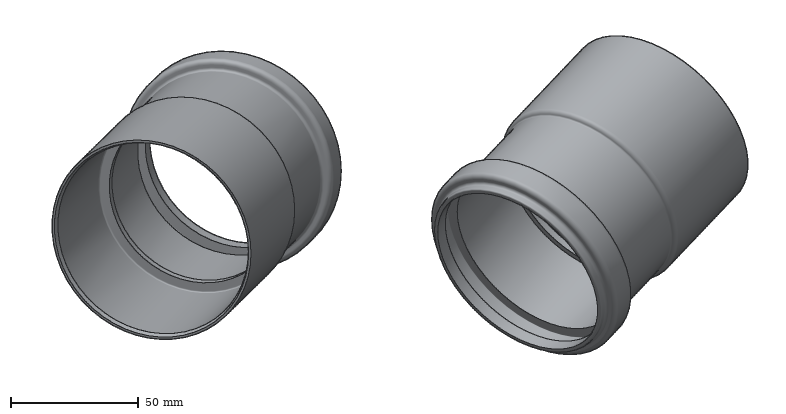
import cadquery as cq
import math


length = 99.5
socket_depth = 48.0
stop_thickness = 3.0
lead_in_length = 1.8
shoulder_start = 48.5
bead_centre = 90.05
bead_width = 11.9

wall = 1.8
socket_diameter = 83.6
mouth_diameter = 81.6
tube_diameter = 79.7
bead_diameter = 88.6
stop_bore = 71.5

shoulder_round = 2.0
shoulder_root_round = 0.8
socket_floor_round = 0.6
bead_round = 2.0
bead_root_round = 1.2
tube_end_round = 0.6


def bore(outer_diameter):
    """Inner diameter of a stretch of pipe wall."""
    return outer_diameter - 2 * wall


def spin(profile):
    """Revolve a (radius, Y) profile about the Y axis."""
    return profile.revolve(360, (0, 0, 0), (0, 1, 0))


def cylinder(diameter, start, end):
    """Cylinder along Y between two positions."""
    return spin(cq.Workplane("XY").moveTo(0, start).rect(diameter / 2, end - start, centered=False))


def socket_and_tube():
    """Solid outer form of the socket, its S-shaped shoulder and the tube with its rounded end."""
    socket_radius = socket_diameter / 2
    tube_radius = tube_diameter / 2
    step = socket_radius - tube_radius
    reach = shoulder_round + shoulder_root_round
    shoulder_length = math.sqrt(reach**2 - (reach - step)**2)
    share = shoulder_round / reach
    meeting_point = (socket_radius - share * step, shoulder_start + share * shoulder_length)
    profile = (
        cq.Workplane("XY")
        .lineTo(socket_radius, 0)
        .lineTo(socket_radius, shoulder_start)
        .tangentArcPoint(meeting_point, relative=False)
        .tangentArcPoint((tube_radius, shoulder_start + shoulder_length), relative=False)
        .lineTo(tube_radius, length - tube_end_round)
        .tangentArcPoint((tube_radius - tube_end_round, length), relative=False)
        .lineTo(0, length)
        .close()
    )
    return spin(profile)


def bead():
    """Solid outer form of the bead, blended into the tube on both sides."""
    tube_radius = tube_diameter / 2
    crest = bead_diameter / 2
    low = bead_centre - bead_width / 2
    high = bead_centre + bead_width / 2
    profile = (
        cq.Workplane("XY")
        .moveTo(0, low - bead_root_round)
        .lineTo(tube_radius, low - bead_root_round)
        .radiusArc((tube_radius + bead_root_round, low), bead_root_round)
        .lineTo(crest - bead_round, low)
        .radiusArc((crest, low + bead_round), -bead_round)
        .lineTo(crest, high - bead_round)
        .radiusArc((crest - bead_round, high), -bead_round)
        .lineTo(tube_radius + bead_root_round, high)
        .radiusArc((tube_radius, high + bead_root_round), bead_root_round)
        .lineTo(0, high + bead_root_round)
        .close()
    )
    return spin(profile)


def socket_bore():
    """Pipe bore with a conical lead-in at the mouth and a rounded floor edge."""
    bore_radius = bore(socket_diameter) / 2
    profile = (
        cq.Workplane("XY")
        .lineTo(mouth_diameter / 2, 0)
        .lineTo(bore_radius, lead_in_length)
        .lineTo(bore_radius, socket_depth - socket_floor_round)
        .tangentArcPoint((bore_radius - socket_floor_round, socket_depth), relative=False)
        .lineTo(0, socket_depth)
        .close()
    )
    return spin(profile)


def seal_groove():
    """Gasket groove inside the bead, following its outer form."""
    half_width = bead_width / 2 - wall
    groove = cylinder(bore(bead_diameter), bead_centre - half_width, bead_centre + half_width)
    return groove.edges("%CIRCLE").fillet(bead_round - wall)


result = (
    socket_and_tube()
    .union(bead())
    .cut(socket_bore())
    .cut(cylinder(stop_bore, socket_depth, socket_depth + stop_thickness))
    .cut(cylinder(bore(tube_diameter), socket_depth + stop_thickness, length))
    .cut(seal_groove())
)